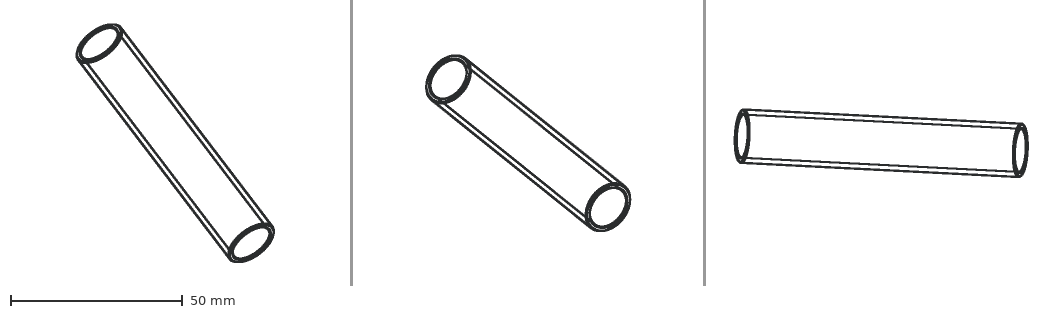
import cadquery as cq

length = 84.4
outer_diameter = 15.6
bore_diameter = 12.6
rim_chamfer = 0.3

tube = (
    cq.Workplane("YZ", origin=(-length / 2, 0, 0))
    .circle(outer_diameter / 2)
    .circle(bore_diameter / 2)
    .extrude(length)
)

result = tube.faces("<X or >X").edges().chamfer(rim_chamfer)